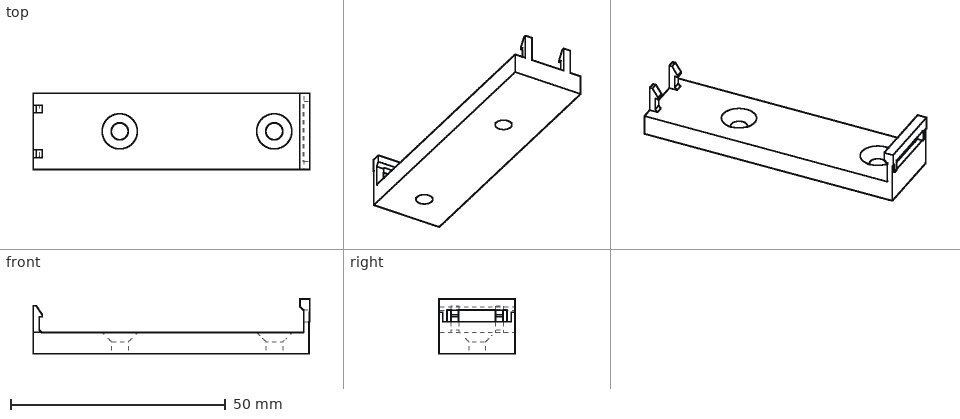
import cadquery as cq

plate_length = 64.33
plate_width = 17.78
plate_height = 5.0

wall_thickness = 1.3
wall_top = 12.83
lip_reach = 0.85
lip_height = 1.85
lip_slope_height = 0.85

pad_thickness = 0.19
wide_pad_bottom = 9.7
narrow_pad_width = 16.0

window_width = 13.97
window_bottom = 7.5
window_inner_top = 10.4
window_outer_top = 10.2

arm_width = 1.83
arm_spacing = 10.38
arm_thickness = 1.45
arm_top = 11.25
arm_tip_flat = 0.72
barb_reach = 0.75
barb_bottom = 8.65
barb_edge_height = 0.45
root_chamfer = 0.6

hole_diameter = 3.9
countersink_diameter = 8.2
countersink_angle = 90
first_hole_x = 20.2
hole_spacing = 36.0


def extruded_profile(points, width, center_y):
    """Extrude an XZ outline along Y, centred on center_y."""
    return (
        cq.Workplane("XZ")
        .polyline(points)
        .close()
        .extrude(width / 2, both=True)
        .translate((0, center_y, 0))
    )


def make_plate():
    return cq.Workplane("XY").box(
        plate_length, plate_width, plate_height, centered=(False, True, False)
    )


def make_end_wall():
    inner_x = plate_length - wall_thickness
    lip_x = inner_x - lip_reach
    lip_bottom = wall_top - lip_height
    outline = [
        (inner_x, 0),
        (plate_length, 0),
        (plate_length, wall_top),
        (lip_x, wall_top),
        (lip_x, lip_bottom),
        (inner_x, lip_bottom - lip_slope_height),
    ]
    return extruded_profile(outline, plate_width, 0)


def make_pad(width, bottom):
    return (
        cq.Workplane("XY")
        .box(pad_thickness, width, wall_top - bottom, centered=(False, True, False))
        .translate((plate_length, 0, bottom))
    )


def make_window_cutter():
    inner_x = plate_length - wall_thickness - lip_reach
    outer_x = plate_length + pad_thickness
    outline = [
        (inner_x, window_bottom),
        (outer_x, window_bottom),
        (outer_x, window_outer_top),
        (inner_x, window_inner_top),
    ]
    return extruded_profile(outline, window_width, 0)


def make_snap_arm(center_y):
    barb_x = arm_thickness + barb_reach
    outline = [
        (0, 0),
        (arm_thickness + root_chamfer, 0),
        (arm_thickness + root_chamfer, plate_height),
        (arm_thickness, plate_height + root_chamfer),
        (arm_thickness, barb_bottom),
        (barb_x, barb_bottom),
        (barb_x, barb_bottom + barb_edge_height),
        (arm_tip_flat, arm_top),
        (0, arm_top),
    ]
    return extruded_profile(outline, arm_width, center_y)


def cut_screw_holes(body):
    centers = [(first_hole_x, 0), (first_hole_x + hole_spacing, 0)]
    return (
        body.copyWorkplane(cq.Workplane("XY", origin=(0, 0, plate_height)))
        .pushPoints(centers)
        .cskHole(hole_diameter, countersink_diameter, countersink_angle)
    )


result = make_plate().union(make_end_wall())
result = result.union(make_pad(plate_width, wide_pad_bottom))
result = result.union(make_pad(narrow_pad_width, window_bottom))
result = result.cut(make_window_cutter())
for side in (-1, 1):
    result = result.union(make_snap_arm(side * arm_spacing / 2))
result = cut_screw_holes(result)